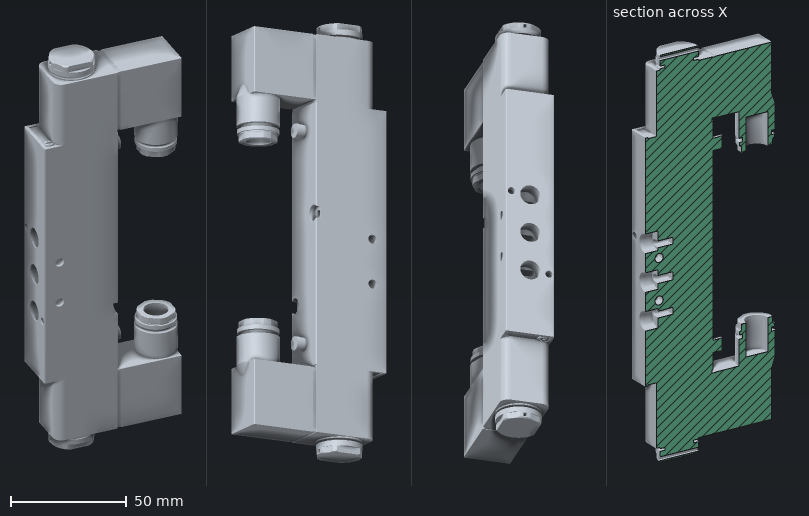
import cadquery as cq


BODY_WIDTH = 22.0
BODY_DEPTH = 35.0
BODY_HALF_LENGTH = 58.5
BODY_EDGE_RADIUS = 0.6

VALVE_CENTER_Z = -9.5
PORT_DIAMETER = 9.0
PORT_DEPTH = 6.5
PORT_SPACING = 18.2
PASSAGE_DEPTH = 14.0
PASSAGE_SPACING = 16.5
PASSAGE_WIDTH = 7.6
PASSAGE_HEIGHT = 3.0
CENTER_PASSAGE_HEIGHT = 3.6
MOUNT_DIAMETER = 3.3
MOUNT_OFFSET_X = 8.5
MOUNT_OFFSET_Z = 19.0
MOUNT_BORE_DIAMETER = 7.2
MOUNT_BORE_DEPTH = 2.6
SIDE_HOLE_DIAMETER = 4.0
SIDE_HOLE_Y = 7.1
SIDE_HOLE_OFFSET_Z = 10.0

RECESS_WIDTH = 19.0
RECESS_DEPTH = 0.5
RECESS_FRONT_Y = 1.6
END_SCREW_DIAMETER = 4.2
END_SCREW_X = 6.5
END_SCREW_Y = 3.9
SCREW_CROSS_LENGTH = 3.0
SCREW_CROSS_WIDTH = 0.9

BUTTON_DIAMETER = 6.3
BUTTON_HEIGHT = 4.7
BUTTON_NECK_HEIGHT = 2.9
BUTTON_NECK_DIAMETER = 6.0
BUTTON_Z = 47.5

COIL_FRONT_Y = 5.6
COIL_BACK_Y = 34.5
COIL_END_Z = 88.8
COIL_CORNER_RADIUS = 4.0
GASKET_WIDTH = 20.4
HOUSING_WIDTH = 21.0
HOUSING_FRONT_Y = 36.2
HOUSING_BACK_Y = 65.1
HOUSING_INNER_Z = 59.7
GASKET_INSET = 0.2
HOUSING_EDGE_RADIUS = 0.5

HEX_SIDES = 6
HEX_ANGLE = 360 / HEX_SIDES

NUT_CENTER_Y = 17.5
NUT_RADIUS = 10.1
NUT_TOP_Z = 95.75
NUT_FLAT_HEIGHT = 2.9
NUT_HEIGHT = 5.3
NUT_SIDE_FLAT_DISTANCE = 8.4
NUT_SLANTED_FLAT_DISTANCE = 9.7
NUT_NECK_RADIUS = 7.5
NUT_RIM_CHAMFER = 0.5
WASHER_THICKNESS = 0.6
NUT_HOLE_SIZE = 1.6
NUT_HOLE_DROP = 1.7

GLAND_CENTER_Y = 57.5
GLAND_RADIUS = 9.45
GLAND_TIP_Z = 40.3
GLAND_SHOULDER_Z = 47.1
GLAND_FLANGE_RADIUS = 9.2
GLAND_NECK_RADIUS = 7.5
GLAND_NECK_HEIGHT = 1.75
GLAND_FLANGE_HEIGHT = 1.8
GLAND_NUT_RADIUS = 8.4
GLAND_FLAT_DISTANCE = 8.0
GLAND_FLAT_HEIGHT = 2.8
GLAND_BORE_DIAMETER = 11.0
GLAND_BORE_DEPTH = 16.0
GLAND_CONE_RADIUS = 7.5
GLAND_CONE_HEIGHT = 5.6


def block(width, y_front, y_back, z_low, z_high):
    """Box centred on X = 0."""
    size = (width, y_back - y_front, z_high - z_low)
    return cq.Workplane("XY").box(*size, centered=(True, False, False)).translate((0, y_front, z_low))


def upright(radius, y, z_low, z_high, x=0.0):
    """Cylinder along Z."""
    return cq.Workplane("XY").workplane(offset=z_low).center(x, y).circle(radius).extrude(z_high - z_low)


def crosswise(radius, x, z, y_start, y_end):
    """Cylinder along Y."""
    plane = cq.Workplane("XZ", origin=(x, y_start, z))
    return plane.circle(radius).extrude(y_start - y_end)


def flat_cutter(y, distance, angle, z_low, z_high):
    """Material beyond a flat whose outward normal points at the angle from +X."""
    reach = 2 * NUT_RADIUS
    cutter = cq.Workplane("XY").box(reach, reach, z_high - z_low, centered=(False, True, False))
    cutter = cutter.translate((distance, 0, 0)).rotate((0, 0, 0), (0, 0, 1), angle)
    return cutter.translate((0, y, z_low))


def valve_body():
    body = block(BODY_WIDTH, 0, BODY_DEPTH, -BODY_HALF_LENGTH, BODY_HALF_LENGTH)
    return body.edges("|Z").fillet(BODY_EDGE_RADIUS)


def coil():
    shell = block(BODY_WIDTH, COIL_FRONT_Y, COIL_BACK_Y, BODY_HALF_LENGTH, COIL_END_Z)
    return shell.edges("|Z and <Y").fillet(COIL_CORNER_RADIUS)


def coil_nut():
    flange_low_z = NUT_TOP_Z - NUT_HEIGHT
    flat_low_z = NUT_TOP_Z - NUT_FLAT_HEIGHT
    nut = upright(NUT_RADIUS, NUT_CENTER_Y, flange_low_z, NUT_TOP_Z)
    nut = nut.faces(">Z").edges().chamfer(NUT_RIM_CHAMFER)
    for step in range(HEX_SIDES):
        is_side = step % (HEX_SIDES // 2) == 0
        distance = NUT_SIDE_FLAT_DISTANCE if is_side else NUT_SLANTED_FLAT_DISTANCE
        nut = nut.cut(flat_cutter(NUT_CENTER_Y, distance, HEX_ANGLE * step, flat_low_z, NUT_TOP_Z))
    hole_z = NUT_TOP_Z - NUT_HOLE_DROP
    half_hole = NUT_HOLE_SIZE / 2
    nut = nut.cut(
        block(
            NUT_HOLE_SIZE,
            NUT_CENTER_Y - NUT_RADIUS,
            NUT_CENTER_Y + NUT_RADIUS,
            hole_z - half_hole,
            hole_z + half_hole,
        )
    )
    neck = upright(NUT_NECK_RADIUS, NUT_CENTER_Y, COIL_END_Z, flange_low_z)
    washer = upright(NUT_RADIUS, NUT_CENTER_Y, COIL_END_Z, COIL_END_Z + WASHER_THICKNESS)
    return nut.union(neck).union(washer)


def connector_housing():
    gasket_low_z = HOUSING_INNER_Z + GASKET_INSET
    gasket_high_z = COIL_END_Z - GASKET_INSET
    gasket = block(GASKET_WIDTH, COIL_BACK_Y, HOUSING_FRONT_Y, gasket_low_z, gasket_high_z)
    housing = block(HOUSING_WIDTH, HOUSING_FRONT_Y, HOUSING_BACK_Y, HOUSING_INNER_Z, COIL_END_Z)
    housing = housing.edges("|Z and >Y").fillet(HOUSING_EDGE_RADIUS)
    return housing.union(gasket)


def cable_gland():
    flange_high_z = GLAND_SHOULDER_Z - GLAND_NECK_HEIGHT
    flange_low_z = flange_high_z - GLAND_FLANGE_HEIGHT
    barrel = upright(GLAND_RADIUS, GLAND_CENTER_Y, GLAND_SHOULDER_Z, HOUSING_INNER_Z)
    cone = (
        cq.Workplane("XY")
        .workplane(offset=HOUSING_INNER_Z)
        .center(0, GLAND_CENTER_Y)
        .circle(GLAND_RADIUS)
        .workplane(offset=GLAND_CONE_HEIGHT)
        .circle(GLAND_CONE_RADIUS)
        .loft()
    )
    neck = upright(GLAND_NECK_RADIUS, GLAND_CENTER_Y, flange_high_z, GLAND_SHOULDER_Z)
    flange = upright(GLAND_FLANGE_RADIUS, GLAND_CENTER_Y, flange_low_z, flange_high_z)
    nut = upright(GLAND_NUT_RADIUS, GLAND_CENTER_Y, GLAND_TIP_Z, flange_low_z)
    flat_high_z = GLAND_TIP_Z + GLAND_FLAT_HEIGHT
    for step in range(HEX_SIDES):
        angle = HEX_ANGLE / 2 + HEX_ANGLE * step
        nut = nut.cut(flat_cutter(GLAND_CENTER_Y, GLAND_FLAT_DISTANCE, angle, GLAND_TIP_Z, flat_high_z))
    return barrel.union(cone).union(neck).union(flange).union(nut)


def gland_bore():
    return upright(GLAND_BORE_DIAMETER / 2, GLAND_CENTER_Y, GLAND_TIP_Z, GLAND_TIP_Z + GLAND_BORE_DEPTH)


def override_button():
    neck_top_y = BODY_DEPTH + BUTTON_NECK_HEIGHT
    neck = crosswise(BUTTON_NECK_DIAMETER / 2, 0, BUTTON_Z, BODY_DEPTH, neck_top_y)
    head = crosswise(BUTTON_DIAMETER / 2, 0, BUTTON_Z, neck_top_y, BODY_DEPTH + BUTTON_HEIGHT)
    return neck.union(head)


def end_recess():
    """Shallow recess in front of the coil, with a cross-slotted screw head left standing in it."""
    floor_z = BODY_HALF_LENGTH - RECESS_DEPTH
    recess = block(RECESS_WIDTH, RECESS_FRONT_Y, COIL_FRONT_Y, floor_z, BODY_HALF_LENGTH)
    screw = upright(END_SCREW_DIAMETER / 2, END_SCREW_Y, floor_z, BODY_HALF_LENGTH, END_SCREW_X)
    for length, width in ((SCREW_CROSS_LENGTH, SCREW_CROSS_WIDTH), (SCREW_CROSS_WIDTH, SCREW_CROSS_LENGTH)):
        arm = cq.Workplane("XY").box(length, width, RECESS_DEPTH, centered=(True, True, False))
        screw = screw.cut(arm.translate((END_SCREW_X, END_SCREW_Y, floor_z)))
    return recess.cut(screw)


def passage(height, z):
    """Round-ended passage from the bottom of a port."""
    plane = cq.Workplane("XZ", origin=(0, PORT_DEPTH, z))
    return plane.slot2D(PASSAGE_WIDTH, height).extrude(PORT_DEPTH - PASSAGE_DEPTH)


def ports():
    cutter = passage(CENTER_PASSAGE_HEIGHT, VALVE_CENTER_Z)
    for side in (-1, 0, 1):
        port_z = VALVE_CENTER_Z + side * PORT_SPACING
        cutter = cutter.union(crosswise(PORT_DIAMETER / 2, 0, port_z, 0, PORT_DEPTH))
    for side in (-1, 1):
        cutter = cutter.union(passage(PASSAGE_HEIGHT, VALVE_CENTER_Z + side * PASSAGE_SPACING))
    return cutter


def mounting_hole(side):
    """Counterbored hole through the body from front to back."""
    x = -side * MOUNT_OFFSET_X
    z = VALVE_CENTER_Z + side * MOUNT_OFFSET_Z
    hole = crosswise(MOUNT_DIAMETER / 2, x, z, 0, BODY_DEPTH)
    bore = crosswise(MOUNT_BORE_DIAMETER / 2, x, z, BODY_DEPTH - MOUNT_BORE_DEPTH, BODY_DEPTH)
    return hole.union(bore)


def side_hole(side):
    """Hole through the body from side to side."""
    z = VALVE_CENTER_Z + side * SIDE_HOLE_OFFSET_Z
    plane = cq.Workplane("YZ", origin=(0, SIDE_HOLE_Y, z))
    return plane.circle(SIDE_HOLE_DIAMETER / 2).extrude(BODY_WIDTH / 2, both=True)


def both_ends(shape):
    return shape, shape.mirror("XY")


solenoid = coil().union(coil_nut()).union(connector_housing()).union(cable_gland()).cut(gland_bore())

result = valve_body().cut(ports())
for end_side in (-1, 1):
    result = result.cut(mounting_hole(end_side)).cut(side_hole(end_side))
for recess in both_ends(end_recess()):
    result = result.cut(recess)
for addition in both_ends(solenoid.union(override_button())):
    result = result.union(addition)